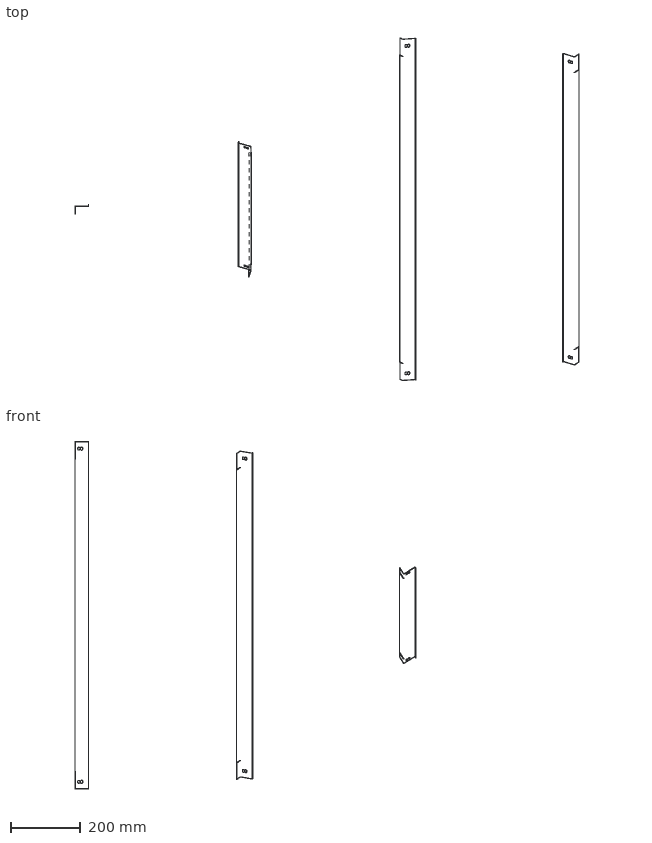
import cadquery as cq

length = 995.0
width = 40.0
depth = 27.2

thickness = 1.0
inner_bend_radius = 0.4
outer_bend_radius = inner_bend_radius + thickness

lip_height = 4.8
lip_corner_radius = 2.0
web_back = depth - lip_height
web_front = web_back - thickness

end_length = 50.0
end_offset = 0.8

slot_width = 6.3
slot_length = 8.3
slot_inset = 20.2
slot_x = 19.4
recess_x = 11.6
recess_depth = thickness / 2


def folded_profile(leg_x, bottom, height):
    """Leg, web and lip, with the outer face of the leg at leg_x."""
    leg_inner_x = leg_x + thickness
    lip_inner_x = width - thickness
    return (
        cq.Workplane("XY", origin=(0, 0, bottom))
        .moveTo(leg_x, 0)
        .lineTo(leg_x, web_back - outer_bend_radius)
        .radiusArc((leg_x + outer_bend_radius, web_back), outer_bend_radius)
        .lineTo(lip_inner_x, web_back)
        .lineTo(lip_inner_x, depth)
        .lineTo(width, depth)
        .lineTo(width, web_front)
        .lineTo(leg_inner_x + inner_bend_radius, web_front)
        .radiusArc((leg_inner_x, web_front - inner_bend_radius), -inner_bend_radius)
        .lineTo(leg_inner_x, 0)
        .close()
        .extrude(height)
    )


def round_lip_corners(body):
    """Round the two free corners at the ends of the lip."""
    return body.faces(">Y").edges("|X").fillet(lip_corner_radius)


def upright_slot(x, z, cut_depth):
    """Slot along Z, cut into the front face of the web."""
    return (
        cq.Workplane("XZ", origin=(x, web_front, z))
        .slot2D(slot_length, slot_width, 90)
        .extrude(-cut_depth)
    )


middle = folded_profile(0, end_length, length - 2 * end_length)
lower_end = folded_profile(end_offset, 0, end_length)
upper_end = folded_profile(end_offset, length - end_length, end_length)
body = round_lip_corners(middle.union(lower_end).union(upper_end))

for slot_z in (slot_inset, length - slot_inset):
    body = body.cut(upright_slot(slot_x, slot_z, thickness))
    body = body.cut(upright_slot(recess_x, slot_z, recess_depth))

result = body